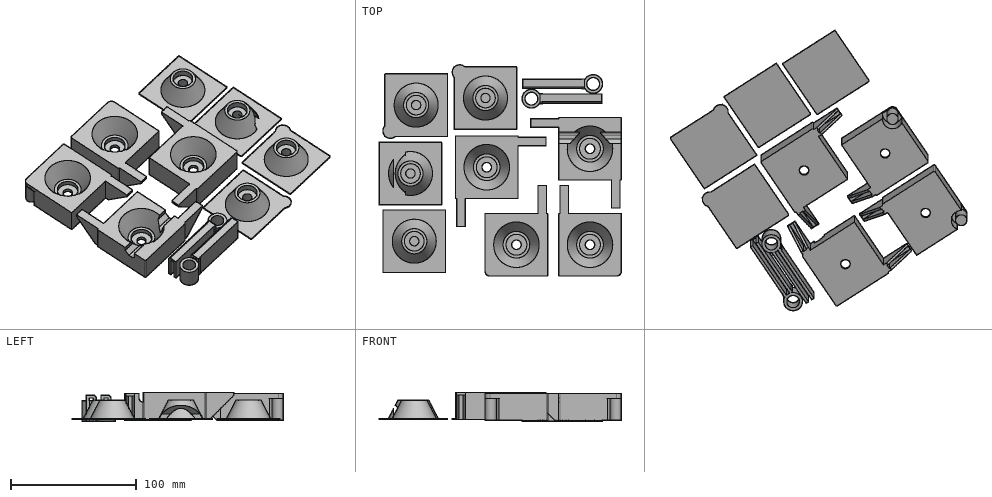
import cadquery as cq
import math


side = 50.0
half = side / 2
edge_radius = 1.0
hinge_inset = 4.5
hole_radius = 3.7
cone_slope = 7.5 / 14.5

plate_base = 1.5
plate_thickness = 1.0
ear_radius = 6.0
plug_height = 14.5
plug_radius = 17.5
plug_top_radius = plug_radius - plug_height * cone_slope
plug_recess_radius = 7.8
plug_recess_depth = 5.6

block_height = 21.5
block_low_base = 0.75
block_high_base = 1.5
pocket_radius = 18.1
pocket_depth = 14.5
pocket_floor_radius = pocket_radius - pocket_depth * cone_slope
block_recess_radius = 8.3
block_recess_depth = 4.0

post_radius = hinge_inset
hinge_clearance_radius = 8.0
hinge_roof = 4.0
hinge_corner_radius = 4.0

arm_length = 22.2
arm_width = 7.0
arm_inset = 1.0
arm_tip = 2.2
arm_slot_width = 3.0
arm_slot_start = 2.2
arm_offset = half - arm_inset - arm_width / 2

trough_near = 4.0
trough_far = 13.4
trough_wall = 3.5
trough_depth = 6.8
trough_slope = math.radians(40)
trough_fillet = 3.0

lever_height = 20.8
lever_width = 7.5
lever_reach = 56.0
lever_chamfer = 1.5
lever_cap = 2.2
channel_width = 3.0
ring_radius = 7.5
ring_bore = 5.0
ring_height = 16.6
neck_start = 6.8
neck_length = 2.2
neck_width = 8.1

plate_ear_sw_at = (4.5, 111.0)
plate_ear_nw_at = (59.6, 116.61)
plate_cut_at = (0.0, 56.6)
plate_plain_at = (3.0, 2.8)
block_nw_at = (60.6, 61.6)
block_ne_at = (142.68, 76.3)
block_se_at = (84.2, 0.0)
block_sw_at = (142.68, 0.0)
lever_right_at = (170.2, 152.8)
lever_left_at = (121.1, 141.1)


def square_prism(height, rounded):
    """Square prism on Z = 0 with the corners given by their signs rounded."""
    prism = cq.Workplane("XY").box(side, side, height, centered=(True, True, False))
    for sign_x, sign_y in rounded:
        corner = cq.selectors.NearestToPointSelector((sign_x * half, sign_y * half, height / 2))
        prism = prism.edges("|Z").edges(corner).fillet(edge_radius)
    return prism


def cylinder(radius, bottom, top, center=(0, 0)):
    return cq.Workplane("XY", origin=(*center, bottom)).circle(radius).extrude(top - bottom)


def cone(bottom_radius, top_radius, bottom, top):
    profile = [(0, bottom), (bottom_radius, bottom), (top_radius, top), (0, top)]
    return cq.Workplane("XZ").polyline(profile).close().revolve(360, (0, 0), (0, 1))


def hinge_center(corner):
    return tuple(sign * (half - hinge_inset) for sign in corner)


def place(body, corner_at, base):
    return body.translate((corner_at[0] + half, corner_at[1] + half, base))


def plug_cut():
    """Undercut along Y with a sloping ceiling, matching the trough of a block."""
    ceiling_rise = (trough_far - trough_near) * math.tan(trough_slope)
    profile = [
        (-trough_far, 0),
        (-trough_near, 0),
        (-trough_near, trough_wall),
        (-trough_far, trough_wall + ceiling_rise),
    ]
    return cq.Workplane("XZ").polyline(profile).close().extrude(half, both=True)


def make_plate(rounded, ear=None, cut=False):
    plug_top = plate_thickness + plug_height
    plug = cone(plug_radius, plug_top_radius, plate_thickness, plug_top)
    plug = plug.cut(cylinder(plug_recess_radius, plug_top - plug_recess_depth, plug_top))
    plug = plug.cut(cylinder(hole_radius, plate_thickness, plug_top))
    if cut:
        plug = plug.cut(plug_cut().translate((0, 0, plate_thickness)))
    plate = square_prism(plate_thickness, rounded)
    if ear:
        plate = plate.union(cylinder(ear_radius, 0, plate_thickness, hinge_center(ear)))
    return plate.union(plug)


def arm(angle, hand):
    """Arm leaving the block at `angle`, on its left (hand 1) or right (hand -1) side."""
    flat = arm_length - (block_height - arm_tip)
    profile = [
        (half, 0),
        (half + flat, 0),
        (half + arm_length, block_height - arm_tip),
        (half + arm_length, block_height),
        (half, block_height),
    ]
    wedge = cq.Workplane("XZ").polyline(profile).close().extrude(arm_width / 2, both=True)
    slot = cq.Workplane("XY").box(
        arm_length, arm_slot_width, block_height - arm_tip, centered=(False, True, False)
    )
    wedge = wedge.cut(slot.translate((half + arm_slot_start, 0, 0)))
    return wedge.translate((0, hand * arm_offset, 0)).rotate((0, 0, 0), (0, 0, 1), angle)


def trough():
    """Trough along X on the +Y side of the pocket, open at the top."""
    floor = block_height - trough_depth
    slope_run = (trough_depth - trough_wall) / math.tan(trough_slope)
    arc_bend = trough_fillet * (1 - math.sqrt(0.5))
    return (
        cq.Workplane("YZ")
        .moveTo(trough_near, block_height)
        .lineTo(trough_near, block_height - trough_wall)
        .lineTo(trough_near + slope_run, floor)
        .lineTo(trough_far - trough_fillet, floor)
        .threePointArc((trough_far - arc_bend, floor + arc_bend), (trough_far, floor + trough_fillet))
        .lineTo(trough_far, block_height)
        .close()
        .extrude(half, both=True)
    )


def add_hinge(block, corner):
    """Post standing in a round clearance under the roof left at a rounded corner."""
    center = hinge_center(corner)
    roof_base = block_height - hinge_roof
    selector = cq.selectors.NearestToPointSelector((corner[0] * half, corner[1] * half, block_height / 2))
    block = block.edges("|Z").edges(selector).fillet(hinge_corner_radius)
    block = block.cut(cylinder(hinge_clearance_radius, 0, roof_base, center))
    return block.union(cylinder(post_radius, 0, roof_base, center))


def make_block(rounded, arms, hinge=None, with_trough=False):
    block = square_prism(block_height, rounded)
    if hinge:
        block = add_hinge(block, hinge)
    floor = block_height - pocket_depth
    block = block.cut(cone(pocket_floor_radius, pocket_radius, floor, block_height))
    block = block.cut(cylinder(block_recess_radius, floor - block_recess_depth, floor))
    block = block.cut(cylinder(hole_radius, 0, floor))
    if with_trough:
        block = block.cut(trough())
    for angle, hand in arms:
        block = block.union(arm(angle, hand))
    return block


def lever_bar(start, end, width):
    """Bar along X with its upper -Y edge chamfered."""
    bar = cq.Workplane("XY").box(end - start, width, lever_height, centered=(False, True, False))
    return bar.translate((start, 0, 0)).edges(">Z and <Y").chamfer(lever_chamfer)


def make_lever():
    """Lever with its hinge axis on Z and its bar towards +X."""
    ring = cylinder(ring_radius, 0, ring_height)
    body = lever_bar(neck_start, lever_reach, lever_width)
    body = body.union(lever_bar(neck_start, neck_start + neck_length, neck_width))
    channel = cq.Workplane("XY").box(
        lever_reach, channel_width, lever_height - lever_cap, centered=(False, True, False)
    )
    body = body.cut(channel).union(ring)
    return body.cut(cylinder(ring_bore, 0, ring_height))


nw, ne, se, sw = (-1, 1), (1, 1), (1, -1), (-1, -1)

plate_ear_sw = place(make_plate([nw], ear=sw), plate_ear_sw_at, plate_base)
plate_ear_nw = place(make_plate([ne, se], ear=nw), plate_ear_nw_at, plate_base)
plate_cut = place(make_plate([ne, se], cut=True), plate_cut_at, plate_base)
plate_plain = place(make_plate([ne, se]), plate_plain_at, plate_base)

block_nw = place(make_block([nw, ne, sw], [(0, 1), (270, -1)]), block_nw_at, block_high_base)
block_ne = place(
    make_block([nw, ne, se], [(180, -1), (270, 1)], with_trough=True), block_ne_at, block_low_base
)
block_se = place(make_block([ne, se], [(90, -1)], hinge=sw), block_se_at, block_low_base)
block_sw = place(make_block([nw, sw], [(90, 1)], hinge=se), block_sw_at, block_low_base)

lever_left = make_lever().translate((*lever_left_at, 0))
lever_right = make_lever().mirror("YZ").translate((*lever_right_at, 0))

bodies = [
    plate_ear_sw,
    plate_ear_nw,
    plate_cut,
    plate_plain,
    block_nw,
    block_ne,
    block_se,
    block_sw,
    lever_left,
    lever_right,
]
result = cq.Compound.makeCompound([body.val() for body in bodies])